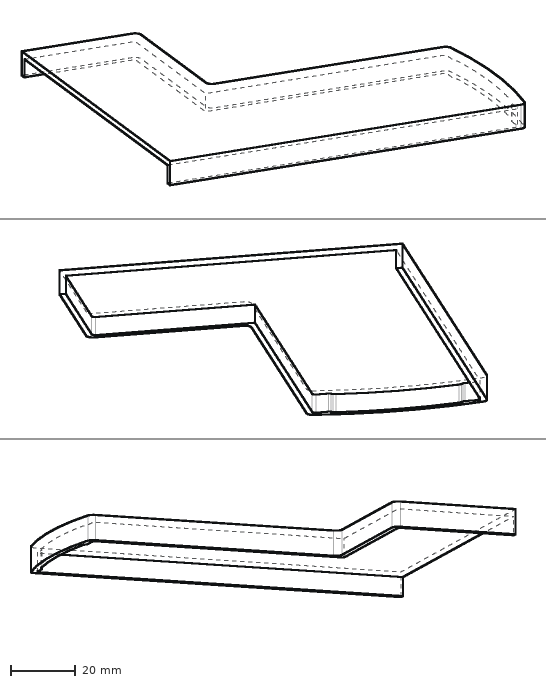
import cadquery as cq
import math

total_width = 109.3
height = 8.0
wall = 2.0

short_arm_length = 40.0
long_arm_left = 51.8
crown_radius = 150.0
crown_apex = 124.84
outer_fillet = 2.0

shoulder_y = 120.55
recess_half_width = 20.08
ramp_angle = 35.0
inner_fillet = 1.0
ramp_foot_fillet = 1.25
ramp_top_fillet = 2.0

long_arm_center = (long_arm_left + total_width) / 2
long_arm_half_width = (total_width - long_arm_left) / 2
crown_center_y = crown_apex - crown_radius


def arc_height(radius, offset):
    """Y of a crown-centred arc at a given X distance from the long arm's axis."""
    return crown_center_y + math.sqrt(radius**2 - offset**2)


crown_corner_y = arc_height(crown_radius, long_arm_half_width)


def fillet_at(body, points, radius):
    """Round the vertical edges of an upright body that pass through the given XY points."""
    tolerance = 0.01
    for x, y in points:
        low = (x - tolerance, y - tolerance, -tolerance)
        high = (x + tolerance, y + tolerance, height + tolerance)
        body = body.edges(cq.selectors.BoxSelector(low, high, boundingbox=True)).fillet(radius)
    return body


def make_outer_body():
    crown_left = (long_arm_left, crown_corner_y)
    crown_right = (total_width, crown_corner_y)
    arm_tip = (0, short_arm_length)
    arm_junction = (long_arm_left, short_arm_length)
    body = (
        cq.Workplane("XY")
        .lineTo(total_width, 0)
        .lineTo(*crown_right)
        .threePointArc((long_arm_center, crown_apex), crown_left)
        .lineTo(*arm_junction)
        .lineTo(*arm_tip)
        .close()
        .extrude(height)
    )
    return fillet_at(body, [crown_left, crown_right, arm_junction, arm_tip], outer_fillet)


def make_cavity():
    """Space under the top plate, open at the bottom and along the straight Y = 0 side."""
    left = wall
    right = total_width - wall
    step_x = long_arm_left + wall
    step_y = short_arm_length - wall
    floor_radius = crown_radius - wall
    recess_y = arc_height(floor_radius, recess_half_width)
    ramp_run = (recess_y - shoulder_y) / math.tan(math.radians(ramp_angle))
    ramp_half_width = recess_half_width + ramp_run

    arm_corner = (left, step_y)
    left_corner = (step_x, shoulder_y)
    right_corner = (right, shoulder_y)
    left_ramp_foot = (long_arm_center - ramp_half_width, shoulder_y)
    right_ramp_foot = (long_arm_center + ramp_half_width, shoulder_y)
    left_ramp_top = (long_arm_center - recess_half_width, recess_y)
    right_ramp_top = (long_arm_center + recess_half_width, recess_y)

    cavity = (
        cq.Workplane("XY")
        .moveTo(left, 0)
        .lineTo(right, 0)
        .lineTo(*right_corner)
        .lineTo(*right_ramp_foot)
        .lineTo(*right_ramp_top)
        .threePointArc((long_arm_center, crown_apex - wall), left_ramp_top)
        .lineTo(*left_ramp_foot)
        .lineTo(*left_corner)
        .lineTo(step_x, step_y)
        .lineTo(*arm_corner)
        .close()
        .extrude(height - wall)
    )
    cavity = fillet_at(cavity, [arm_corner, left_corner, right_corner], inner_fillet)
    cavity = fillet_at(cavity, [left_ramp_foot, right_ramp_foot], ramp_foot_fillet)
    return fillet_at(cavity, [left_ramp_top, right_ramp_top], ramp_top_fillet)


result = make_outer_body().cut(make_cavity())